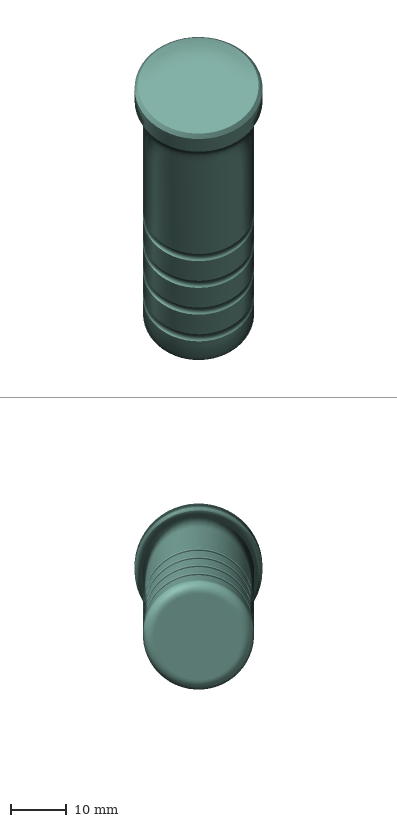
import cadquery as cq

total_height = 70.0
body_diameter = 20.0
bottom_fillet = 2.0

head_diameter = 23.0
head_height = 5.0
head_top_chamfer = 0.7
head_bottom_chamfer = 0.5

neck_diameter = 19.3
neck_height = 1.5

groove_count = 4
groove_pitch = 8.0
groove_width = 2.1
groove_depth = 0.665

body_radius = body_diameter / 2
head_bottom = total_height - head_height
body_top = head_bottom - neck_height


def make_body():
    body = cq.Workplane("XY").circle(body_radius).extrude(body_top)
    return body.faces("<Z").edges().fillet(bottom_fillet)


def make_neck():
    return cq.Workplane("XY").workplane(offset=body_top).circle(neck_diameter / 2).extrude(neck_height)


def make_head():
    head = cq.Workplane("XY").workplane(offset=head_bottom).circle(head_diameter / 2).extrude(head_height)
    head = head.faces(">Z").edges().chamfer(head_top_chamfer)
    return head.faces("<Z").edges().chamfer(head_bottom_chamfer)


def make_groove_cutter(center_height):
    half_width = groove_width / 2
    arc_radius = (half_width**2 + groove_depth**2) / (2 * groove_depth)
    arc_center = body_radius - groove_depth + arc_radius
    return (
        cq.Workplane("XZ")
        .center(arc_center, center_height)
        .circle(arc_radius)
        .revolve(360, (-arc_center, 0), (-arc_center, 1))
    )


result = make_body().union(make_neck()).union(make_head())
for index in range(1, groove_count + 1):
    result = result.cut(make_groove_cutter(index * groove_pitch))